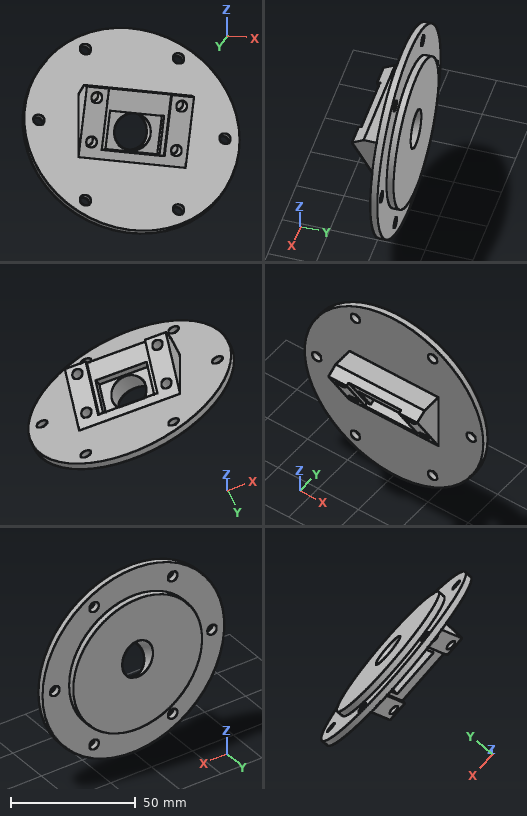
import cadquery as cq
import math

flange_diameter = 89.0
flange_thickness = 3.0
spigot_diameter = 63.0
spigot_length = 2.9
bolt_circle_diameter = 76.9
bolt_hole_diameter = 4.5
bolt_count = 6

wedge_width = 44.2
wedge_reach = 14.3
wedge_bottom = -14.7
wedge_top = 13.0
face_angle = math.radians(60)

recess_width = 26.0
recess_depth = 1.5
pocket_width = 22.3
pocket_length = 15.9
pocket_depth = 5.8
pocket_start = 3.8
bore_diameter = 14.95
screw_hole_diameter = 4.4
screw_hole_depth = 8.0
screw_spacing_across = 35.1
screw_spacing_along = 18.0
screw_start = 6.6

face_length = wedge_reach / math.cos(face_angle)
tip_height = wedge_bottom + wedge_reach * math.tan(face_angle)
top_edge_reach = wedge_reach - (wedge_top - tip_height) * math.tan(face_angle)
pocket_center = pocket_start + pocket_length / 2
bore_depth = 2 * (wedge_reach + flange_thickness + spigot_length)

face_plane = cq.Plane(
    origin=(0, 0, wedge_bottom),
    xDir=(1, 0, 0),
    normal=(0, -math.sin(face_angle), -math.cos(face_angle)),
)


def make_flange():
    """Drilled disc with a locating spigot on its back."""
    disc = cq.Workplane("XZ").circle(flange_diameter / 2).extrude(-flange_thickness)
    spigot = (
        cq.Workplane("XZ", origin=(0, flange_thickness, 0))
        .circle(spigot_diameter / 2)
        .extrude(-spigot_length)
    )
    bolt_holes = (
        cq.Workplane("XZ")
        .polarArray(bolt_circle_diameter / 2, 0, 360, bolt_count)
        .circle(bolt_hole_diameter / 2)
        .extrude(-flange_thickness)
    )
    return disc.union(spigot).cut(bolt_holes)


def make_wedge():
    """Prism with an overhanging face and a top bevel square to that face."""
    profile = [
        (0, wedge_bottom),
        (-wedge_reach, tip_height),
        (-top_edge_reach, wedge_top),
        (0, wedge_top),
    ]
    return cq.Workplane("YZ").polyline(profile).close().extrude(wedge_width / 2, both=True)


def face_pocket(width, start, end, depth):
    """Rectangular cutter sunk square to the inclined face."""
    return (
        cq.Workplane(face_plane)
        .center(0, (start + end) / 2)
        .rect(width, end - start)
        .extrude(-depth)
    )


def make_bore():
    """Round passage square to the inclined face, out through the back."""
    return (
        cq.Workplane(face_plane)
        .center(0, pocket_center)
        .circle(bore_diameter / 2)
        .extrude(-bore_depth)
    )


def make_screw_holes():
    """Four blind holes around the recess."""
    return (
        cq.Workplane(face_plane)
        .center(0, screw_start + screw_spacing_along / 2)
        .rect(screw_spacing_across, screw_spacing_along, forConstruction=True)
        .vertices()
        .circle(screw_hole_diameter / 2)
        .extrude(-screw_hole_depth)
    )


recess = face_pocket(recess_width, pocket_start, face_length, recess_depth)
pocket = face_pocket(pocket_width, pocket_start, pocket_start + pocket_length, pocket_depth)

result = make_flange().union(make_wedge())
for cutter in (recess, pocket, make_bore(), make_screw_holes()):
    result = result.cut(cutter)